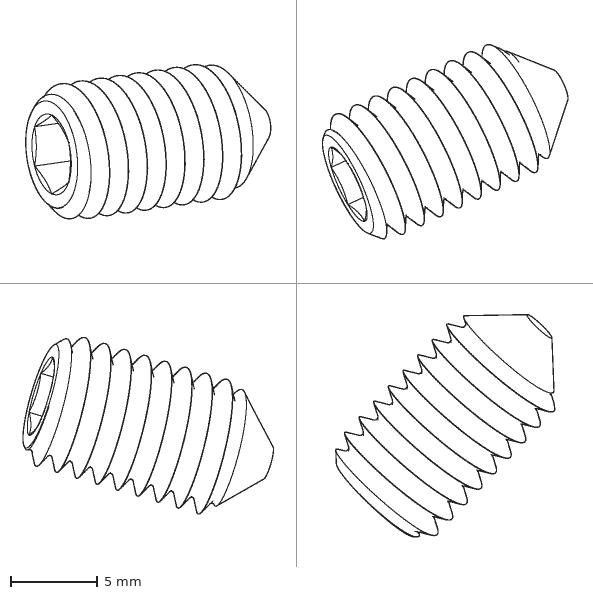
import cadquery as cq
import math

length = 14.0
outer_diameter = 8.0
outer_radius = outer_diameter / 2

tip_radius = 1.0
cone_length = outer_radius - tip_radius
socket_face_radius = 3.14
chamfer_length = outer_radius - socket_face_radius

hex_across_flats = 4.1
hex_corner_radius = hex_across_flats / math.sqrt(3)
socket_depth = 5.0
countersink_angle = math.radians(20)
countersink_depth = (hex_corner_radius - hex_across_flats / 2) * math.tan(countersink_angle)

turns_per_length = 11.2
pitch = length / turns_per_length
crest_width = 0.03
root_radius = 3.16
flank_angle = math.radians(30)
groove_start = 0.7

crest_half = crest_width / 2
mouth_half = pitch / 2 - crest_half
apex_radius = outer_radius - mouth_half / math.tan(flank_angle)
root_fillet = (root_radius - apex_radius) * math.sin(flank_angle) / (1 - math.sin(flank_angle))
root_half = root_fillet * math.cos(flank_angle)
root_arc_steps = 4
root_edge_radius = root_radius + root_fillet * (1 - math.sin(flank_angle))


def make_blank():
    """Turned body with the chamfered socket end and the conical point."""
    return (
        cq.Workplane("XY")
        .moveTo(0, 0)
        .lineTo(socket_face_radius, 0)
        .lineTo(outer_radius, chamfer_length)
        .lineTo(outer_radius, length - cone_length)
        .lineTo(tip_radius, length)
        .lineTo(0, length)
        .close()
        .revolve(360, (0, 0, 0), (0, 1, 0))
    )


def helix_turn(radius, height):
    """One turn of the thread helix about Z, starting on the +X side."""
    return cq.Wire.makeHelix(pitch, pitch, radius).translate(cq.Vector(0, 0, height))


def flank_strip(start, end):
    """One-turn helical face between two (radius, height) profile points."""
    return cq.Face.makeRuledSurface(helix_turn(*start), helix_turn(*end))


def root_strip():
    """Smooth one-turn helical face lofted through helices spaced along the root arc."""
    arc_half_angle = math.pi / 2 - flank_angle
    helices = []
    for step in range(-root_arc_steps, root_arc_steps + 1):
        angle = arc_half_angle * step / root_arc_steps
        radius = root_radius + root_fillet * (1 - math.cos(angle))
        helices.append(helix_turn(radius, root_fillet * math.sin(angle)))
    return cq.occ_impl.shapes.loft(*helices).Faces()[0]


def end_faces(height):
    """Helicoid face from the axis to the root edge, and the flat step that closes its turn."""
    bottom = height - root_half
    axis = cq.Edge.makeLine(cq.Vector(0, 0, bottom), cq.Vector(0, 0, bottom + pitch))
    helicoid = cq.Face.makeRuledSurface(
        helix_turn(root_edge_radius, bottom), cq.Wire.assembleEdges([axis])
    )
    step = (
        cq.Workplane("XZ")
        .moveTo(0, bottom)
        .lineTo(root_edge_radius, bottom)
        .threePointArc((root_radius, height), (root_edge_radius, height + root_half))
        .lineTo(outer_radius, height + mouth_half)
        .lineTo(outer_radius, height + pitch - mouth_half)
        .lineTo(root_edge_radius, bottom + pitch)
        .lineTo(0, bottom + pitch)
        .close()
    )
    return [helicoid, cq.Face.makeFromWires(step.val())]


def make_threaded_rod():
    """Right-hand threaded rod along Y, reaching past both ends of the blank."""
    lead_in = 2 * pitch
    turns = math.ceil((length + 2 * lead_in) / pitch)
    flank_points = [
        (root_edge_radius, root_half),
        (outer_radius, mouth_half),
        (outer_radius, pitch - mouth_half),
        (root_edge_radius, pitch - root_half),
    ]
    turn_faces = [root_strip()]
    for start, end in zip(flank_points, flank_points[1:]):
        turn_faces.append(flank_strip(start, end))

    faces = end_faces(0) + end_faces(turns * pitch)
    for turn in range(turns):
        offset = cq.Vector(0, 0, turn * pitch)
        faces += [face.translate(offset) for face in turn_faces]
    rod = cq.Workplane(obj=cq.Solid.makeSolid(cq.Shell.makeShell(faces)))
    return (
        rod.rotate((0, 0, 0), (1, 0, 0), -90)
        .rotate((0, 0, 0), (0, 1, 0), -90)
        .translate((0, groove_start - lead_in, 0))
    )


def make_socket():
    """Hexagonal pocket, corners pointing up and down, with a countersunk mouth."""
    pocket = (
        cq.Workplane("XZ")
        .polygon(6, 2 * hex_corner_radius)
        .extrude(-socket_depth)
        .rotate((0, 0, 0), (0, 1, 0), 90)
    )
    countersink = cq.Workplane(obj=cq.Solid.makeCone(
        hex_corner_radius,
        hex_across_flats / 2,
        countersink_depth,
        cq.Vector(0, 0, 0),
        cq.Vector(0, 1, 0),
    ))
    return pocket.union(countersink)


result = make_threaded_rod().intersect(make_blank()).cut(make_socket())